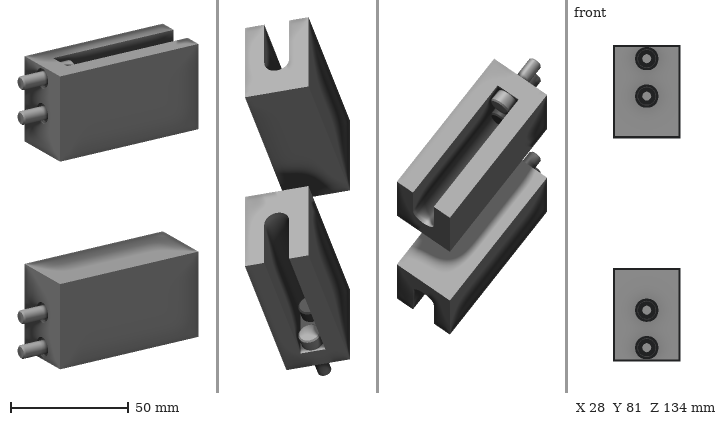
import cadquery as cq

overall_height = 134.0
block_width = 28.0
block_length = 70.0
block_height = 39.0

outer_screw_depth = 5.5
screw_spacing = 16.0
inner_screw_depth = outer_screw_depth + screw_spacing

slot_width = 11.0
end_wall = 9.0

hole_diameter = 6.4
recess_diameter = 9.0
recess_depth = 2.0

shank_diameter = 6.0
shank_protrusion = 11.0
tip_chamfer = 0.6
head_diameter = 10.0
head_height = 6.0
head_top_chamfer = 0.7
head_seat_chamfer = 0.3

open_face_z = overall_height / 2
screw_heights = [open_face_z - outer_screw_depth, open_face_z - inner_screw_depth]


def cylinder_along_y(diameter, start_y, end_y, height):
    """Cylinder parallel to Y, from start_y to end_y, with its axis at Z = height."""
    section = cq.Workplane("XZ", origin=(0, start_y, height)).circle(diameter / 2)
    return section.extrude(start_y - end_y)


def cut_slot(block):
    """Cut the round-bottomed slot, open at the top and at the back of the block."""
    slot_length = block_length - end_wall
    slot_center_y = end_wall + slot_length / 2
    floor_z = open_face_z - inner_screw_depth
    walls = cq.Workplane("XY", origin=(0, slot_center_y, floor_z)).box(
        slot_width, slot_length, inner_screw_depth, centered=(True, True, False)
    )
    rounded_floor = cylinder_along_y(slot_width, end_wall, block_length, floor_z)
    return block.cut(walls).cut(rounded_floor)


def cut_screw_holes(block):
    """Cut the clearance holes and the wider recesses around them in the front face."""
    for height in screw_heights:
        block = block.cut(cylinder_along_y(hole_diameter, 0, end_wall, height))
        block = block.cut(cylinder_along_y(recess_diameter, 0, recess_depth, height))
    return block


def make_block():
    """Upper block, with its front face on Y = 0 and its slot opening upwards."""
    block = cq.Workplane("XY", origin=(0, block_length / 2, open_face_z - block_height / 2)).box(
        block_width, block_length, block_height
    )
    return cut_screw_holes(cut_slot(block))


def make_screw(height):
    """Cap screw with its head seated on the end wall and its tip pointing to -Y."""
    shank = cylinder_along_y(shank_diameter, -shank_protrusion, end_wall, height)
    shank = shank.faces("<Y").chamfer(tip_chamfer)
    head = cylinder_along_y(head_diameter, end_wall, end_wall + head_height, height)
    head = head.faces(">Y").edges().chamfer(head_top_chamfer)
    head = head.faces("<Y").edges().chamfer(head_seat_chamfer)
    return shank.union(head)


upper_block = make_block()
lower_block = upper_block.mirror("XY")

screws = []
for side in (1, -1):
    for screw_height in screw_heights:
        screws.append(make_screw(side * screw_height).solids().val())

result = cq.Compound.makeCompound([upper_block.solids().val(), lower_block.solids().val(), *screws])